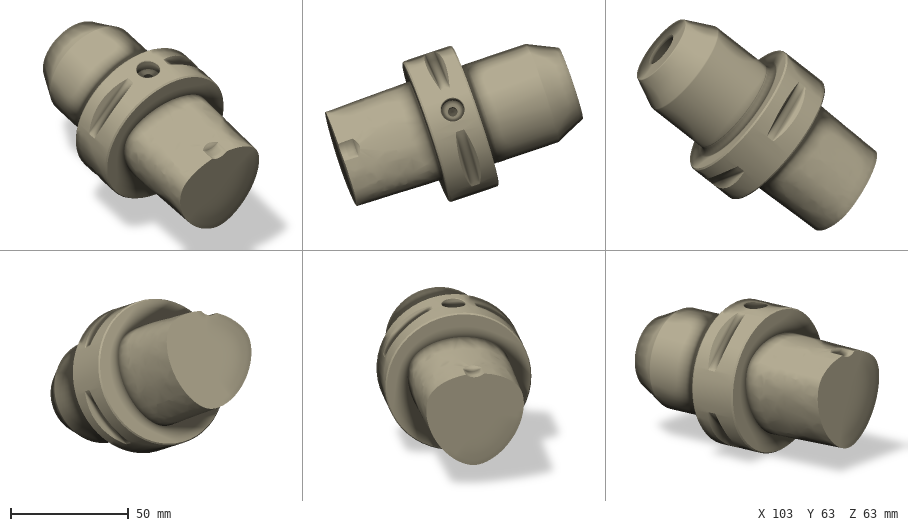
import cadquery as cq
import math

nose_length = 43.0
flange_width = 22.0
shank_length = 38.0
flange_front = -flange_width
nose_face = flange_front - nose_length

nose_diameter = 44.0
nose_relief_diameter = 43.8
nose_cone_length = 13.0
nose_cone_angle = 25.0
nose_face_fillet = 0.5
nose_cone_blend = 1.0
relief_step_start = 3.1
relief_step_end = 2.8
root_fillet_start = 2.0
undercut_depth = 0.2
undercut_inner_diameter = 48.5
undercut_outer_diameter = 50.3
flange_diameter = 63.0
flange_chamfer_axial = 0.7
flange_chamfer_radial = 0.5

cut_clearance = 1.0

shank_diameter = 44.0
shank_lobe = 1.4
shank_taper = 1 / 40
shank_curve_points = 72

bore_diameter = 14.0
bore_entry_diameter = 14.5
bore_chamfer_diameter = 15.6
bore_floor_diameter = 12.75
bore_depth = 45.0
bore_step_length = 0.5
bore_floor_chamfer_length = 0.6

groove_centre = -12.0
groove_floor_radius = 27.87
groove_floor_width = 3.64
groove_flank_angle = 30.0
groove_fillet = 0.6
groove_angles = (45, 135, 225, 315)

chip_hole_diameter = 10.0
chip_hole_chamfer = 0.25
chip_hole_depth = 5.0
pilot_diameter = 4.0
pilot_depth = 2.0
drill_point_angle = 118.0

notch_radius = 6.0
notch_length = 6.4
notch_depth = 1.7


def revolve_about_x(profile):
    """Revolve an XY-plane profile (x, radius) about the X axis."""
    return profile.close().revolve(360, (0, 0, 0), (1, 0, 0))


def nose_and_flange():
    """Tapered nose, relieved root and flange as one turned body."""
    nose_radius = nose_diameter / 2
    relief_radius = nose_relief_diameter / 2
    flange_radius = flange_diameter / 2
    cone_end = nose_face + nose_cone_length
    cone_angle = math.radians(nose_cone_angle)
    face_radius = nose_radius - nose_cone_length * math.tan(cone_angle)
    root_start = flange_front - root_fillet_start
    undercut_floor = flange_front + undercut_depth
    undercut_radius = undercut_inner_diameter / 2
    blend_length = nose_cone_blend * math.tan(cone_angle / 2)
    blend_end_x = cone_end + blend_length
    blend_start_x = cone_end - blend_length * math.cos(cone_angle)
    blend_start_radius = nose_radius - blend_length * math.sin(cone_angle)
    blend_mid = (
        blend_end_x - nose_cone_blend * math.sin(cone_angle / 2),
        nose_radius - nose_cone_blend * (1 - math.cos(cone_angle / 2)),
    )
    arc_mid = (
        root_start + (undercut_floor - root_start) * math.sin(math.pi / 4),
        undercut_radius - (undercut_radius - relief_radius) * math.cos(math.pi / 4),
    )
    profile = (
        cq.Workplane("XY")
        .moveTo(nose_face, 0)
        .lineTo(nose_face, face_radius)
        .lineTo(blend_start_x, blend_start_radius)
        .threePointArc(blend_mid, (blend_end_x, nose_radius))
        .lineTo(flange_front - relief_step_start, nose_radius)
        .lineTo(flange_front - relief_step_end, relief_radius)
        .lineTo(root_start, relief_radius)
        .threePointArc(arc_mid, (undercut_floor, undercut_radius))
        .lineTo(flange_front, undercut_outer_diameter / 2)
        .lineTo(flange_front, flange_radius - flange_chamfer_radial)
        .lineTo(flange_front + flange_chamfer_axial, flange_radius)
        .lineTo(-flange_chamfer_axial, flange_radius)
        .lineTo(0, flange_radius - flange_chamfer_radial)
        .lineTo(0, 0)
    )
    body = revolve_about_x(profile)
    return body.faces("<X").edges().fillet(nose_face_fillet)


def shank_section(x):
    """Three-lobed curve of constant width; one lobe points to -Z."""
    mean_radius = shank_diameter / 2 - shank_taper * x
    points = []
    for i in range(shank_curve_points):
        a = 2 * math.pi * i / shank_curve_points
        y = mean_radius * math.sin(a) + 2 * shank_lobe * math.sin(2 * a) + shank_lobe * math.sin(4 * a)
        z = mean_radius * math.cos(a) - 2 * shank_lobe * math.cos(2 * a) + shank_lobe * math.cos(4 * a)
        points.append((y, z))
    return cq.Workplane("YZ", origin=(x, 0, 0)).spline(points, periodic=True).close().wire().val()


def polygon_shank():
    """Straight loft between the shank sections at the flange and at the end."""
    sections = [shank_section(0), shank_section(shank_length)]
    return cq.Workplane(cq.Solid.makeLoft(sections, True))


def clamping_bore():
    """Blind bore with a chamfered mouth and a bevelled floor edge."""
    entry_radius = bore_entry_diameter / 2
    chamfer_radius = bore_chamfer_diameter / 2
    bore_radius = bore_diameter / 2
    entry_end = nose_face + chamfer_radius - entry_radius
    bore_end = nose_face + bore_depth
    profile = (
        cq.Workplane("XY")
        .moveTo(nose_face, 0)
        .lineTo(nose_face, chamfer_radius)
        .lineTo(entry_end, entry_radius)
        .lineTo(entry_end + bore_step_length, bore_radius)
        .lineTo(bore_end - bore_floor_chamfer_length, bore_radius)
        .lineTo(bore_end, bore_floor_diameter / 2)
        .lineTo(bore_end, 0)
    )
    return revolve_about_x(profile)


def gripper_groove(angle):
    """Cutter for one flat-floored groove, turned by angle about X from +Z."""
    height = flange_diameter / 2 - groove_floor_radius + cut_clearance
    half_floor = groove_floor_width / 2
    half_top = half_floor + height * math.tan(math.radians(groove_flank_angle))
    cutter = (
        cq.Workplane("XZ", origin=(groove_centre, 0, groove_floor_radius))
        .polyline([(-half_floor, 0), (half_floor, 0), (half_top, height), (-half_top, height)])
        .close()
        .extrude(flange_diameter / 2, both=True)
        .faces("<Z")
        .edges("|Y")
        .fillet(groove_fillet)
    )
    return cutter.rotate((0, 0, 0), (1, 0, 0), angle)


def chip_hole():
    """Flat-floored hole from +Z with a smaller drilled pilot in its floor."""
    top = flange_diameter / 2
    floor = top - chip_hole_depth
    hole_radius = chip_hole_diameter / 2
    pilot_radius = pilot_diameter / 2
    pilot_end = floor - pilot_depth
    point_length = pilot_radius / math.tan(math.radians(drill_point_angle / 2))
    return (
        cq.Workplane("XZ", origin=(groove_centre, 0, 0))
        .moveTo(0, top)
        .lineTo(hole_radius, top)
        .lineTo(hole_radius, floor)
        .lineTo(pilot_radius, floor)
        .lineTo(pilot_radius, pilot_end)
        .lineTo(0, pilot_end - point_length)
        .close()
        .revolve(360, (0, 0, 0), (0, 1, 0))
    )


def chamfer_chip_hole_rim(body):
    top = flange_diameter / 2
    rim = cq.selectors.BoxSelector(
        (groove_centre - chip_hole_diameter, -chip_hole_diameter, top - cut_clearance),
        (groove_centre + chip_hole_diameter, chip_hole_diameter, top + cut_clearance),
        boundingbox=True,
    )
    return body.edges(rim).chamfer(chip_hole_chamfer)


def shank_notch():
    """Round-bottomed groove along X that ends in a 90 degree cone."""
    end_top = shank_diameter / 2 - shank_taper * shank_length - shank_lobe
    axis_z = end_top - notch_depth + notch_radius
    start = shank_length - notch_length
    profile = (
        cq.Workplane("XY")
        .moveTo(start - notch_radius, 0)
        .lineTo(start, notch_radius)
        .lineTo(shank_length, notch_radius)
        .lineTo(shank_length, 0)
    )
    return revolve_about_x(profile).translate((0, 0, axis_z))


result = nose_and_flange().union(polygon_shank())
result = result.cut(clamping_bore())
for groove_angle in groove_angles:
    result = result.cut(gripper_groove(groove_angle))
result = result.cut(chip_hole())
result = chamfer_chip_hole_rim(result)
result = result.cut(shank_notch())